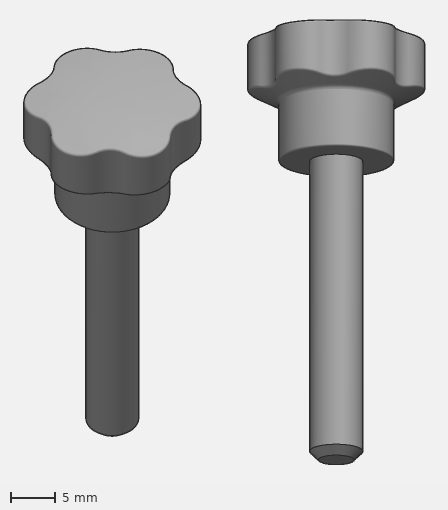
import cadquery as cq
import math

total_height = 50.0

shaft_diameter = 6.0
tip_chamfer = 1.0

collar_diameter = 13.0
collar_bottom = 35.0
collar_edge_round = 0.2

lobe_count = 6
lobe_center_radius = 6.5
lobe_radius = 3.5
valley_radius = 3.25
head_radius = lobe_center_radius + lobe_radius

dome_radius = 47.5
underside_bottom = 42.0
underside_angle = 20.0
head_edge_round = 0.3
blank_margin = 0.5
neck_round = 0.5

half_pitch = math.pi / lobe_count
lobe_to_valley_center = lobe_radius + valley_radius
lobe_offset = lobe_center_radius * math.sin(half_pitch)
valley_center_radius = lobe_center_radius * math.cos(half_pitch) + math.sqrt(
    lobe_to_valley_center**2 - lobe_offset**2
)
valley_floor_radius = valley_center_radius - valley_radius


def polar(radius, angle):
    return (radius * math.cos(angle), radius * math.sin(angle))


def tangent_point(lobe_angle, valley_angle):
    """Point where a lobe arc meets the neighbouring valley arc."""
    lobe_x, lobe_y = polar(lobe_center_radius, lobe_angle)
    valley_x, valley_y = polar(valley_center_radius, valley_angle)
    share = lobe_radius / lobe_to_valley_center
    return (lobe_x + share * (valley_x - lobe_x), lobe_y + share * (valley_y - lobe_y))


def make_lobed_prism():
    first_lobe = math.pi / 2
    outline = cq.Workplane("XY").workplane(offset=collar_bottom)
    outline = outline.moveTo(*tangent_point(first_lobe, first_lobe - half_pitch))
    for index in range(lobe_count):
        lobe = first_lobe + 2 * half_pitch * index
        valley = lobe + half_pitch
        next_lobe = valley + half_pitch
        outline = outline.threePointArc(polar(head_radius, lobe), tangent_point(lobe, valley))
        outline = outline.threePointArc(
            polar(valley_floor_radius, valley), tangent_point(next_lobe, valley)
        )
    return outline.close().extrude(total_height - collar_bottom)


def make_head_envelope():
    """Revolved blank, wider than the lobes, with the dome and the conical underside."""
    blank_radius = head_radius + blank_margin
    collar_radius = collar_diameter / 2
    cone_rise = (blank_radius - collar_radius) * math.tan(math.radians(underside_angle))

    def dome_height(radius):
        return total_height - dome_radius + math.sqrt(dome_radius**2 - radius**2)

    return (
        cq.Workplane("XZ")
        .moveTo(0, underside_bottom)
        .lineTo(collar_radius, underside_bottom)
        .lineTo(blank_radius, underside_bottom + cone_rise)
        .lineTo(blank_radius, dome_height(blank_radius))
        .threePointArc((blank_radius / 2, dome_height(blank_radius / 2)), (0, total_height))
        .close()
        .revolve(360, (0, 0), (0, 1))
    )


def make_head():
    head = make_lobed_prism().intersect(make_head_envelope())
    side_walls = head.faces("%CYLINDER")
    return side_walls.edges("not |Z").fillet(head_edge_round)


def make_collar():
    return (
        cq.Workplane("XY")
        .workplane(offset=collar_bottom)
        .circle(collar_diameter / 2)
        .extrude(underside_bottom - collar_bottom)
        .faces("<Z")
        .edges()
        .fillet(collar_edge_round)
    )


def make_shaft():
    return (
        cq.Workplane("XY")
        .circle(shaft_diameter / 2)
        .extrude(collar_bottom)
        .faces("<Z")
        .chamfer(tip_chamfer)
    )


def round_neck(knob):
    """Blend the conical underside of the head into the collar."""
    reach = collar_diameter / 2 + neck_round
    neck_zone = cq.selectors.BoxSelector(
        (-reach, -reach, underside_bottom - neck_round),
        (reach, reach, underside_bottom + neck_round),
        boundingbox=True,
    )
    return knob.edges(neck_zone).edges("%CIRCLE").fillet(neck_round)


knob = round_neck(make_head().union(make_collar()))
result = knob.union(make_shaft())